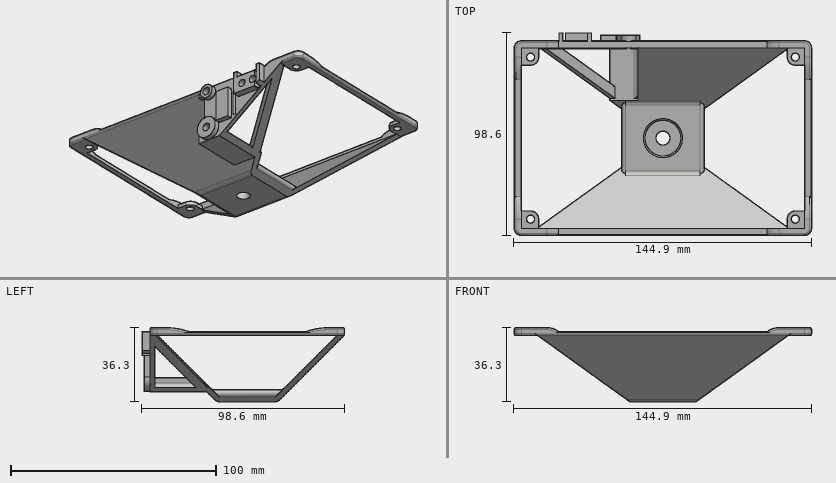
import cadquery as cq
import math

FRAME_LENGTH = 144.85
FRAME_DEPTH = 94.85
FRAME_WIDTH = 3.5
FRAME_HEIGHT = 4.0
FRAME_CORNER_RADIUS = 3.5
FRAME_EDGE_ROUND = 1.0
RAIL_CHAMFER = 0.4
RAIL_DROP = 2.0
RISER_OVERLAP = 0.8
RISER_FLAT_X = 16.0
RISER_RAMP_X = 5.7
RISER_FLAT_Y = 8.0
RISER_RAMP_Y = 11.0

TAB_HOLE_INSET = 8.0
TAB_HOLE_DIAMETER = 3.8
TAB_RADIUS = 4.0

TOTAL_HEIGHT = 36.25
WALL_THICKNESS = 2.5
WALL_START_Z = -3.6
WALL_TOP_ROUND = 1.2
FLOOR_THICKNESS = 6.0
FLOOR_INNER_FILLET = 3.0
FLOOR_OUTER_FILLET = 4.0
FLOOR_SIDE_ROUND = 2.0
FLOOR_HALF_WIDTH = 16.0
SIDE_TOP_HALF_WIDTH = 60.8
POCKET_DIAMETER = 19.0
POCKET_FLOOR_DIAMETER = 17.4
POCKET_DEPTH = 0.8
FLOOR_HOLE_DIAMETER = 6.7

BOX_RIGHT_X = -10.0
BOX_SIDE_X = -12.2
BOX_FLOOR_BOTTOM = -31.3
BOX_FLOOR_TOP = -29.1
BOX_BACK_THICKNESS = 2.4
BOX_SIDE_FILLET = 2.0
SLOPE_PLATE_THICKNESS = 1.5
SLOPE_PLATE_SETBACK = 1.0
SLOPE_WINDOW_OFFSET = 3.2
SIDE_WINDOW_TOP = -6.1
SIDE_WINDOW_X = -13.6
SIDE_WINDOW_BOTTOM = -24.4

PIN_HOLE_DIAMETER = 3.72
PIN_HOLE_XS = (-46.3, -39.8)
PIN_HOLE_Z = -9.5
BOSS_X = -16.8
BOSSES = ((-5.6, 3.6), (-25.6, 5.6))
BOSS_HEIGHT = 2.75
BOSS_HOLE_DIAMETER = 4.0
BLOCK_X = (-30.3, -22.8)
BLOCK_Z = (-24.0, -8.0)
HOLDER_HEIGHT = 3.75
HOLDER_TOP = -2.0
HOLDER_BODY_TOP = -5.0
HOLDER_BOTTOM = -13.7
HOLDER_LEFT_POST_X = (-50.7, -48.7)
HOLDER_BODY_X = (-47.5, -34.7)
HOLDER_RIGHT_POST_X = (-36.7, -34.7)
SLOT_X = (-32.7, -31.3)
SLOT_Z = (-22.5, -9.5)

HALF_X = FRAME_LENGTH / 2
HALF_Y = FRAME_DEPTH / 2
FLOOR_TOP = FLOOR_THICKNESS - TOTAL_HEIGHT
OUTER_SUM = HALF_Y - WALL_START_Z
INNER_SUM = OUTER_SUM - WALL_THICKNESS * math.sqrt(2)
BOX_INNER_Y = HALF_Y - BOX_BACK_THICKNESS
SIDE_RUN = SIDE_TOP_HALF_WIDTH - FLOOR_HALF_WIDTH
SIDE_RISE = TOTAL_HEIGHT - FRAME_HEIGHT
SIDE_ANGLE = math.atan2(SIDE_RISE, SIDE_RUN)
RIM_JOIN_Z = -3.0
MARGIN = 10.0


def box_between(xs, ys, zs):
    size = (xs[1] - xs[0], ys[1] - ys[0], zs[1] - zs[0])
    return cq.Workplane("XY").box(*size, centered=False).translate((xs[0], ys[0], zs[0]))


def prism_along_x(points, x_start, x_end):
    """Extrude a (y, z) outline between two x positions."""
    return cq.Workplane("YZ", origin=(x_start, 0, 0)).polyline(points).close().extrude(x_end - x_start)


def prism_along_y(points, y_start, y_end):
    """Extrude an (x, z) outline between two y positions."""
    return cq.Workplane("XZ", origin=(0, y_start, 0)).polyline(points).close().extrude(y_start - y_end)


def side_x(z):
    """Half width of the hopper's sloped sides at height z."""
    return FLOOR_HALF_WIDTH + (z + TOTAL_HEIGHT) * SIDE_RUN / SIDE_RISE


def side_outline_prism():
    """Everything between the two sloped sides of the hopper."""
    outline = [
        (-side_x(-TOTAL_HEIGHT), -TOTAL_HEIGHT),
        (side_x(-TOTAL_HEIGHT), -TOTAL_HEIGHT),
        (side_x(0), 0),
        (-side_x(0), 0),
    ]
    return prism_along_y(outline, -HALF_Y - MARGIN, HALF_Y + MARGIN)


def frame_ring(top):
    """Filled frame block up to the given height, and the opening to cut from it."""
    outer = (
        cq.Workplane("XY", origin=(0, 0, -FRAME_HEIGHT))
        .rect(FRAME_LENGTH, FRAME_DEPTH)
        .extrude(FRAME_HEIGHT + top)
        .edges("|Z").fillet(FRAME_CORNER_RADIUS)
        .faces("<Z").edges().fillet(FRAME_EDGE_ROUND)
    )
    opening = cq.Workplane("XY", origin=(0, 0, -FRAME_HEIGHT)).rect(
        FRAME_LENGTH - 2 * FRAME_WIDTH, FRAME_DEPTH - 2 * FRAME_WIDTH
    ).extrude(FRAME_HEIGHT + MARGIN)
    return outer, opening


def ramp_cutter(plane, flat_end, ramp_length, reach):
    """Space between two opposite risers; each ramp is an arc that starts level with the riser top."""
    radius = (ramp_length**2 + RAIL_DROP**2) / (2 * RAIL_DROP)
    drop = RAIL_DROP + RISER_OVERLAP
    run = math.sqrt(radius**2 - (radius - drop) ** 2)
    half_angle = math.asin(run / radius) / 2
    mid_run = radius * math.sin(half_angle)
    mid_drop = radius * (1 - math.cos(half_angle))
    return (
        cq.Workplane(plane)
        .moveTo(-flat_end, 0)
        .threePointArc((mid_run - flat_end, -mid_drop), (run - flat_end, -drop))
        .lineTo(run - flat_end, -MARGIN)
        .lineTo(flat_end - run, -MARGIN)
        .lineTo(flat_end - run, -drop)
        .threePointArc((flat_end - mid_run, -mid_drop), (flat_end, 0))
        .lineTo(flat_end, MARGIN)
        .lineTo(-flat_end, MARGIN)
        .close()
        .extrude(reach, both=True)
    )


def is_riser_top_edge(edge):
    """True for the outline edges along the top of the risers and their ramps."""
    bounds = edge.BoundingBox()
    middle = edge.positionAt(0.5)
    on_outline = (
        abs(middle.x) > HALF_X - FRAME_CORNER_RADIUS / 2
        or abs(middle.y) > HALF_Y - FRAME_CORNER_RADIUS / 2
    )
    lowest = -RAIL_DROP - RISER_OVERLAP
    is_vertical = bounds.zlen > FRAME_HEIGHT
    return on_outline and not is_vertical and lowest + 0.1 < middle.z


def frame():
    """Rectangular frame with raised, ramped corners."""
    rails, opening = frame_ring(-RAIL_DROP)
    rails = rails.faces(">Z").edges("|Y").chamfer(RAIL_CHAMFER)
    full_ring, _ = frame_ring(0)
    risers = (
        cq.Workplane("XY", origin=(0, 0, -2 * FRAME_HEIGHT))
        .rect(FRAME_LENGTH, FRAME_DEPTH)
        .extrude(2 * FRAME_HEIGHT)
        .edges("|Z").fillet(FRAME_CORNER_RADIUS)
    )
    risers = risers.cut(ramp_cutter("XZ", HALF_X - RISER_FLAT_X, RISER_RAMP_X, FRAME_DEPTH))
    risers = risers.cut(ramp_cutter("YZ", HALF_Y - RISER_FLAT_Y, RISER_RAMP_Y, FRAME_LENGTH))
    top_edges = [edge for edge in risers.edges().vals() if is_riser_top_edge(edge)]
    risers = risers.newObject(top_edges).fillet(FRAME_EDGE_ROUND).intersect(full_ring)
    return rails.union(risers).cut(opening)


def corner_tab(x_sign, y_sign):
    """Screw tab in one corner, rounded around its hole."""
    reach = TAB_HOLE_INSET + TAB_RADIUS
    start = FRAME_WIDTH / 2
    middle = (start + reach) / 2
    center = (x_sign * (HALF_X - middle), y_sign * (HALF_Y - middle))
    free_corner = cq.selectors.NearestToPointSelector((0, 0, -FRAME_HEIGHT))
    return (
        cq.Workplane("XY", origin=(0, 0, -FRAME_HEIGHT))
        .center(*center)
        .rect(reach - start, reach - start)
        .extrude(FRAME_HEIGHT - RAIL_DROP)
        .edges("|Z").edges(free_corner).fillet(TAB_RADIUS)
    )


def tab_holes():
    return (
        cq.Workplane("XY", origin=(0, 0, -FRAME_HEIGHT))
        .rect(FRAME_LENGTH - 2 * TAB_HOLE_INSET, FRAME_DEPTH - 2 * TAB_HOLE_INSET, forConstruction=True)
        .vertices()
        .circle(TAB_HOLE_DIAMETER / 2)
        .extrude(FRAME_HEIGHT)
    )


def hopper():
    """Floor and front and back walls, trimmed by the sloped sides."""
    bottom_y = OUTER_SUM - TOTAL_HEIGHT
    outline = [
        (-bottom_y, -TOTAL_HEIGHT),
        (bottom_y, -TOTAL_HEIGHT),
        (HALF_Y, WALL_START_Z),
        (HALF_Y, RIM_JOIN_Z),
        (-HALF_Y, RIM_JOIN_Z),
        (-HALF_Y, WALL_START_Z),
    ]
    body = prism_along_x(outline, -HALF_X, HALF_X)
    body = body.faces("<Z").edges("|X").fillet(FLOOR_OUTER_FILLET)
    for y_side in ("<Y", ">Y"):
        body = body.faces(y_side).edges("<Z").fillet(WALL_TOP_ROUND)
    floor_edge_y = INNER_SUM + FLOOR_TOP
    cavity = [(-floor_edge_y, FLOOR_TOP), (floor_edge_y, FLOOR_TOP), (INNER_SUM, 0), (-INNER_SUM, 0)]
    body = body.cut(prism_along_x(cavity, -HALF_X, HALF_X))
    body = body.intersect(side_outline_prism())
    side_edges = [
        edge for edge in body.edges("|Y").vals() if abs(edge.Center().z - FLOOR_TOP) < 0.01
    ]
    body = body.newObject(side_edges).fillet(FLOOR_SIDE_ROUND)
    fillet = floor_fillet()
    return body.union(fillet).union(fillet.mirror("XZ"))


def floor_fillet():
    """Concave fillet between the floor and the back wall."""
    corner_y = INNER_SUM + FLOOR_TOP
    tangent = FLOOR_INNER_FILLET * math.tan(math.radians(22.5))
    center = (corner_y - tangent, FLOOR_TOP + FLOOR_INNER_FILLET)
    mid_angle = math.radians(-90 + 22.5)
    arc_middle = (
        center[0] + FLOOR_INNER_FILLET * math.cos(mid_angle),
        center[1] + FLOOR_INNER_FILLET * math.sin(mid_angle),
    )
    wall_step = tangent / math.sqrt(2)
    half_length = side_x(FLOOR_TOP) - FLOOR_SIDE_ROUND / math.tan(SIDE_ANGLE / 2)
    return (
        cq.Workplane("YZ")
        .moveTo(corner_y - tangent, FLOOR_TOP)
        .threePointArc(arc_middle, (corner_y + wall_step, FLOOR_TOP + wall_step))
        .lineTo(corner_y + wall_step, FLOOR_TOP - wall_step)
        .lineTo(corner_y - tangent, FLOOR_TOP - wall_step)
        .close()
        .extrude(half_length, both=True)
    )


def floor_pocket():
    """Shallow tapered recess with a through hole."""
    recess = (
        cq.Workplane("XY", origin=(0, 0, FLOOR_TOP))
        .circle(POCKET_DIAMETER / 2)
        .workplane(offset=-POCKET_DEPTH)
        .circle(POCKET_FLOOR_DIAMETER / 2)
        .loft()
    )
    hole = cq.Workplane("XY", origin=(0, 0, -TOTAL_HEIGHT)).circle(FLOOR_HOLE_DIAMETER / 2)
    return recess.union(hole.extrude(FLOOR_THICKNESS))


def side_box():
    """Wedge under the back wall; its left end follows the hopper side."""
    outline = [
        (HALF_Y, RIM_JOIN_Z),
        (HALF_Y, BOX_FLOOR_BOTTOM),
        (OUTER_SUM + BOX_FLOOR_BOTTOM, BOX_FLOOR_BOTTOM),
        (OUTER_SUM - FRAME_HEIGHT, RIM_JOIN_Z),
    ]
    return prism_along_x(outline, -HALF_X, BOX_RIGHT_X).intersect(side_outline_prism())


def box_cavity():
    """Room inside the box, which also opens the hopper's back wall above it."""
    plate_shift = SLOPE_PLATE_THICKNESS / math.sin(SIDE_ANGLE)
    outline = [
        (plate_shift - side_x(BOX_FLOOR_TOP), BOX_FLOOR_TOP),
        (BOX_SIDE_X, BOX_FLOOR_TOP),
        (BOX_SIDE_X, -FRAME_HEIGHT),
        (plate_shift - side_x(-FRAME_HEIGHT), -FRAME_HEIGHT),
    ]
    front_y = INNER_SUM + BOX_FLOOR_TOP
    cavity = prism_along_y(outline, front_y, BOX_INNER_Y)
    floor_side_edge = cq.selectors.NearestToPointSelector((BOX_SIDE_X, HALF_Y / 2, BOX_FLOOR_TOP))
    return cavity.edges("|Y").edges(floor_side_edge).fillet(BOX_SIDE_FILLET)


def slope_window():
    """Triangular opening through the slope plate."""
    diagonal_sum = OUTER_SUM + SLOPE_WINDOW_OFFSET
    outline = [
        (BOX_INNER_Y, BOX_FLOOR_TOP),
        (diagonal_sum + BOX_FLOOR_TOP, BOX_FLOOR_TOP),
        (BOX_INNER_Y, BOX_INNER_Y - diagonal_sum),
    ]
    return prism_along_x(outline, -HALF_X, BOX_SIDE_X - BOX_SIDE_FILLET)


def side_window():
    """Opening that leaves only a low sill of the side plate and trims the back plate's end."""
    outline = [
        (OUTER_SUM + SIDE_WINDOW_BOTTOM, SIDE_WINDOW_BOTTOM),
        (OUTER_SUM + SIDE_WINDOW_TOP, SIDE_WINDOW_TOP),
        (HALF_Y, SIDE_WINDOW_TOP),
        (HALF_Y, SIDE_WINDOW_BOTTOM),
    ]
    return prism_along_x(outline, SIDE_WINDOW_X, BOX_RIGHT_X)


def slope_plate_setback():
    """Strip removed from the slope plate's upper edge."""
    outline = [
        (INNER_SUM + BOX_FLOOR_TOP - SLOPE_PLATE_SETBACK, BOX_FLOOR_TOP),
        (INNER_SUM + BOX_FLOOR_TOP + SLOPE_PLATE_SETBACK, BOX_FLOOR_TOP),
        (INNER_SUM - FRAME_HEIGHT + SLOPE_PLATE_SETBACK, -FRAME_HEIGHT),
        (INNER_SUM - FRAME_HEIGHT - SLOPE_PLATE_SETBACK, -FRAME_HEIGHT),
    ]
    return prism_along_x(outline, -HALF_X, BOX_SIDE_X)


def round_on_back(x, z, diameter, y_start, y_end):
    """Cylinder along y at a place on the back plate."""
    return cq.Workplane("XZ", origin=(x, y_start, z)).circle(diameter / 2).extrude(y_start - y_end)


def back_details():
    """Screw bosses, block and pin holder standing on the back face."""
    boss_ys = (HALF_Y - BOX_BACK_THICKNESS / 2, HALF_Y + BOSS_HEIGHT)
    holder_ys = (HALF_Y - BOX_BACK_THICKNESS / 2, HALF_Y + HOLDER_HEIGHT)
    details = box_between(BLOCK_X, boss_ys, BLOCK_Z)
    for boss_z, boss_radius in BOSSES:
        details = details.union(round_on_back(BOSS_X, boss_z, 2 * boss_radius, *boss_ys))
    for post_x in (HOLDER_LEFT_POST_X, HOLDER_RIGHT_POST_X):
        details = details.union(box_between(post_x, holder_ys, (HOLDER_BOTTOM, HOLDER_TOP)))
    details = details.union(box_between(HOLDER_BODY_X, holder_ys, (HOLDER_BOTTOM, HOLDER_BODY_TOP)))
    return details.intersect(side_outline_prism())


def back_openings():
    """Pin holes, screw holes and slot through the back plate."""
    back_ys = (BOX_INNER_Y - FRAME_WIDTH, HALF_Y + MARGIN)
    openings = box_between(SLOT_X, back_ys, SLOT_Z)
    for pin_x in PIN_HOLE_XS:
        openings = openings.union(round_on_back(pin_x, PIN_HOLE_Z, PIN_HOLE_DIAMETER, *back_ys))
    for boss_z, _ in BOSSES:
        openings = openings.union(round_on_back(BOSS_X, boss_z, BOSS_HOLE_DIAMETER, *back_ys))
    return openings


def holder_part():
    body = hopper().union(side_box())
    body = body.cut(box_cavity()).cut(slope_plate_setback())
    body = body.cut(slope_window()).cut(side_window())
    body = body.union(frame())
    for x_sign in (-1, 1):
        for y_sign in (-1, 1):
            body = body.union(corner_tab(x_sign, y_sign))
    body = body.union(back_details())
    return body.cut(tab_holes()).cut(floor_pocket()).cut(back_openings())


result = holder_part()